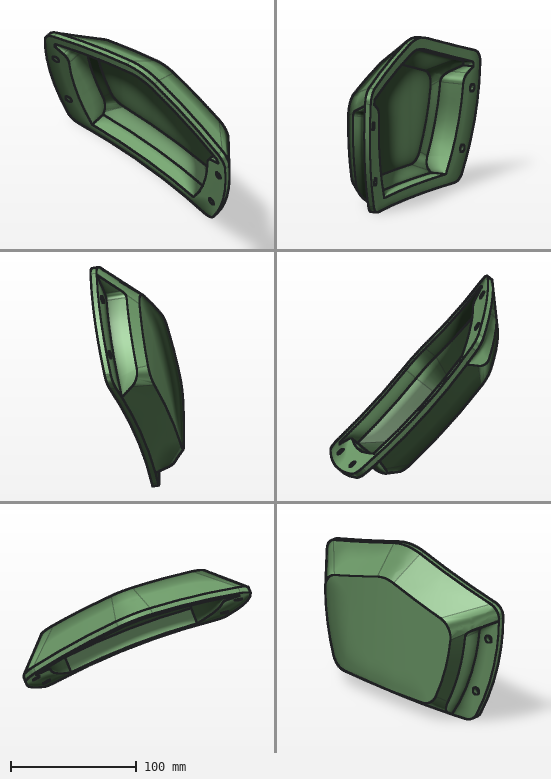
import cadquery as cq
import math

FRONT_RADIUS = 562.9
FRONT_Y = 12.0
TILT = math.radians(2.5)
FLANGE_THICKNESS = 5.0
TOTAL_DEPTH = 28.6
BACK_THICKNESS = 3.5
WALL = 4.0
BACK_INSET = 1.7

HALF_WIDTH = 96.0
HEIGHT = 129.0
SIDE_RADIUS = 188.3
SIDE_CENTER_Z = 88.4
ROOF_ANGLE = math.radians(17)
PEAK_RADIUS = 50.0
CORNER_RADIUS = 12.0
RIM_WIDTH = 9.2

BACK_HALF_WIDTH = 70.3
BACK_BOTTOM = 15.0
BACK_TOP = 108.7
BACK_PEAK_RADIUS = 30.7
BACK_CORNER_RADIUS = 15.4

PAD_INSET = 22.0
PAD_CORNER_RADIUS = 10.0
PAD_CORNER_Z = 79.0
PAD_TOP_ANGLE = math.radians(28)
HOLE_DIAMETER = 6.0
HOLE_POSITIONS = [(86.5, 74.0), (76.0, 26.5)]

SIDE_CENTER_X = SIDE_RADIUS - HALF_WIDTH
REACH = 192.1


def layer_cylinder(depth):
    """Solid cylinder reaching the given depth behind the front face."""
    axis = cq.Vector(0, -math.sin(TILT), math.cos(TILT))
    radial = cq.Vector(0, math.cos(TILT), math.sin(TILT))
    base = cq.Vector(0, FRONT_Y, 0) - radial * FRONT_RADIUS - axis * REACH
    plane = cq.Plane(origin=base, xDir=(1, 0, 0), normal=axis)
    return cq.Workplane(plane).circle(FRONT_RADIUS + depth).extrude(3 * REACH)


def side_x(half_width, z):
    """Distance of the curved side edge from the middle plane."""
    radius = half_width + SIDE_CENTER_X
    return math.sqrt(radius**2 - (z - SIDE_CENTER_Z)**2) - SIDE_CENTER_X


def extrude_along_y(sketch):
    return sketch.extrude(-REACH).translate((0, -REACH / 2, 0))


def shield(half_width, bottom, top, peak_radius, corner_radius):
    """Five-sided prism along Y with curved sides and rounded corners."""
    apex = top + peak_radius * (1 / math.cos(ROOF_ANGLE) - 1)
    shoulder = apex - half_width * math.tan(ROOF_ANGLE)
    middle = (bottom + shoulder) / 2
    shoulder_x, middle_x, bottom_x = (side_x(half_width, z) for z in (shoulder, middle, bottom))
    sketch = (
        cq.Workplane("XZ").moveTo(-bottom_x, bottom)
        .lineTo(bottom_x, bottom)
        .threePointArc((middle_x, middle), (shoulder_x, shoulder))
        .lineTo(0, apex)
        .lineTo(-shoulder_x, shoulder)
        .threePointArc((-middle_x, middle), (-bottom_x, bottom))
        .close()
    )
    prism = extrude_along_y(sketch)
    prism = prism.edges("|Y").edges(">Z").fillet(peak_radius)
    corners = cq.selectors.BoxSelector((-REACH, -REACH, bottom - 2), (REACH, REACH, shoulder + 2))
    prism = prism.edges("|Y").edges(corners).fillet(corner_radius)
    return prism


def inset_outer(inset):
    return shield(
        HALF_WIDTH - inset, inset, HEIGHT - inset, PEAK_RADIUS - inset, CORNER_RADIUS - inset
    )


def inset_back(inset):
    return shield(
        BACK_HALF_WIDTH - inset, BACK_BOTTOM + inset, BACK_TOP - inset,
        BACK_PEAK_RADIUS - inset, BACK_CORNER_RADIUS - inset,
    )


def outline_face(prism, depth):
    """Curved face where a prism meets a layer cylinder."""
    return prism.intersect(layer_cylinder(depth)).faces(">Y").val()


def tapered_body(front_prism, front_depth, back_prism, back_depth):
    """Solid with straight-ruled walls between outlines on two layers."""
    front = outline_face(front_prism, front_depth)
    back = outline_face(back_prism, back_depth)
    walls = cq.Face.makeRuledSurface(front.outerWire(), back.outerWire())
    shell = cq.Shell.makeShell([front, back, *walls.Faces()])
    return cq.Workplane(cq.Solid.makeSolid(shell).fix())


def screw_pads(offset):
    """Mirrored prisms outboard of the cavity sides, moved outward by offset."""
    radius = PAD_CORNER_RADIUS - offset
    half_width = HALF_WIDTH - PAD_INSET + offset
    side_radius = half_width + SIDE_CENTER_X
    start_angle = math.asin((PAD_CORNER_Z - SIDE_CENTER_Z) / (side_radius - offset))

    def side_point(angle):
        return (
            side_radius * math.cos(angle) - SIDE_CENTER_X,
            SIDE_CENTER_Z + side_radius * math.sin(angle),
        )

    start_x, start_z = side_point(start_angle)
    center_x = start_x + radius * math.cos(start_angle)
    center_z = start_z + radius * math.sin(start_angle)

    def corner_point(angle):
        return center_x - radius * math.cos(angle), center_z + radius * math.sin(angle)

    end_angle = math.pi / 2 - PAD_TOP_ANGLE
    end_x, end_z = corner_point(end_angle)
    bottom_angle = -math.asin((SIDE_CENTER_Z + 2) / side_radius)
    bottom_x, bottom_z = side_point(bottom_angle)
    outside_x = HALF_WIDTH + 9.6
    sketch = (
        cq.Workplane("XZ").moveTo(bottom_x, bottom_z)
        .threePointArc(side_point((bottom_angle + start_angle) / 2), (start_x, start_z))
        .threePointArc(corner_point(end_angle / 2), (end_x, end_z))
        .lineTo(outside_x, end_z + (outside_x - end_x) * math.tan(PAD_TOP_ANGLE))
        .lineTo(outside_x, bottom_z)
        .close()
    )
    pad = extrude_along_y(sketch)
    return pad.union(pad.mirror("YZ"))


flange = inset_outer(0).intersect(layer_cylinder(FLANGE_THICKNESS)).cut(layer_cylinder(0))
body = tapered_body(inset_outer(0), FLANGE_THICKNESS, inset_back(0), TOTAL_DEPTH)
body = body.cut(screw_pads(WALL))

inner_taper = tapered_body(
    inset_outer(WALL), FLANGE_THICKNESS, inset_back(BACK_INSET), TOTAL_DEPTH - BACK_THICKNESS
)
flange_opening = inset_outer(WALL).intersect(layer_cylinder(FLANGE_THICKNESS))
opening = inset_outer(RIM_WIDTH).cut(screw_pads(0))
cavity = inner_taper.union(flange_opening).intersect(opening)

result = flange.union(body).cut(cavity)

hole_points = [(sign * x, z) for x, z in HOLE_POSITIONS for sign in (-1, 1)]
holes = extrude_along_y(cq.Workplane("XZ").pushPoints(hole_points).circle(HOLE_DIAMETER / 2))
result = result.cut(holes)